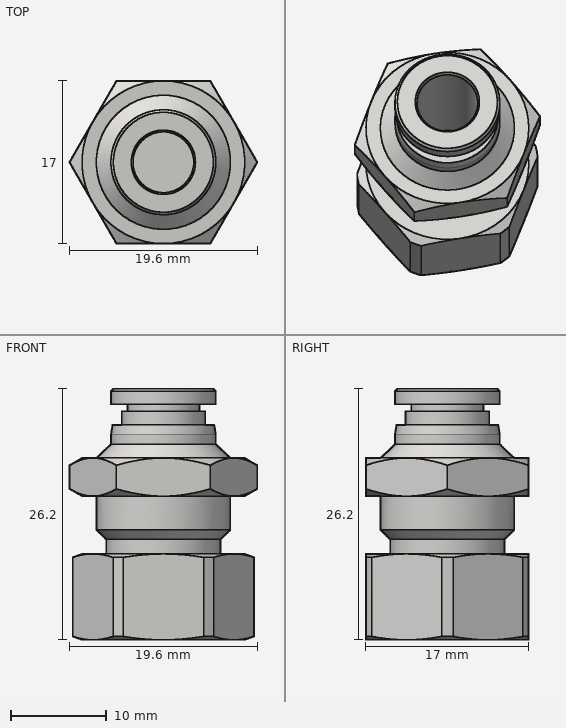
import cadquery as cq
import math

across_flats = 17.0
across_corners = across_flats / math.cos(math.radians(30))
base_corner_diameter = 18.98
nut_chamfer_angle = 30
base_chamfer_angle = 20

base_top = 8.98
lower_neck_top = 10.5
body_cone_top = 11.5
nut_bottom = 15.02
nut_top = 19.0
shoulder_bottom = 20.45
shoulder_taper_start = 21.5
shoulder_top = 22.47
sleeve_top = 23.91
collar_bottom = 24.6
total_height = 26.25

lower_neck_radius = 5.98
body_radius = 7.0
shoulder_radius = 5.49
shoulder_top_radius = 5.33
sleeve_radius = 4.38
upper_neck_radius = 3.78
collar_radius = shoulder_radius
collar_chamfer = 0.25

bore_radius = 3.18
bore_chamfer = 0.18
bore_chamfer_height = 0.3
bore_depth = 15.75


def chamfered_hexagon(bottom, top, corner_diameter, chamfer_angle):
    """Hexagon with corners on X, cut by a turned blank with conical ends."""
    flat_radius = across_flats / 2
    corner_radius = corner_diameter / 2
    chamfer_height = (corner_radius - flat_radius) * math.tan(math.radians(chamfer_angle))
    prism = cq.Workplane("XY").workplane(offset=bottom).polygon(6, across_corners).extrude(top - bottom)
    blank = (
        cq.Workplane("XZ")
        .moveTo(0, bottom)
        .lineTo(flat_radius, bottom)
        .lineTo(corner_radius, bottom + chamfer_height)
        .lineTo(corner_radius, top - chamfer_height)
        .lineTo(flat_radius, top)
        .lineTo(0, top)
        .close()
        .revolve(360, (0, 0, 0), (0, 1, 0))
    )
    return prism.intersect(blank)


def turned_stem():
    """Stepped round stem from the base up to the release collar."""
    profile = [
        (0, 0),
        (lower_neck_radius, 0),
        (lower_neck_radius, lower_neck_top),
        (body_radius, body_cone_top),
        (body_radius, nut_top),
        (shoulder_radius, shoulder_bottom),
        (shoulder_radius, shoulder_taper_start),
        (shoulder_top_radius, shoulder_top),
        (sleeve_radius, shoulder_top),
        (sleeve_radius, sleeve_top),
        (upper_neck_radius, sleeve_top),
        (upper_neck_radius, collar_bottom),
        (collar_radius, collar_bottom),
        (collar_radius, total_height - collar_chamfer),
        (collar_radius - collar_chamfer, total_height),
        (0, total_height),
    ]
    return cq.Workplane("XZ").polyline(profile).close().revolve(360, (0, 0, 0), (0, 1, 0))


def tube_socket():
    """Blind bore from the top with a chamfered mouth."""
    mouth_radius = bore_radius + bore_chamfer
    profile = [
        (0, total_height - bore_depth),
        (bore_radius, total_height - bore_depth),
        (bore_radius, total_height - bore_chamfer_height),
        (mouth_radius, total_height),
        (0, total_height),
    ]
    return cq.Workplane("XZ").polyline(profile).close().revolve(360, (0, 0, 0), (0, 1, 0))


base = chamfered_hexagon(0, base_top, base_corner_diameter, base_chamfer_angle)
nut = chamfered_hexagon(nut_bottom, nut_top, across_corners, nut_chamfer_angle)

result = turned_stem().union(base).union(nut).cut(tube_socket())